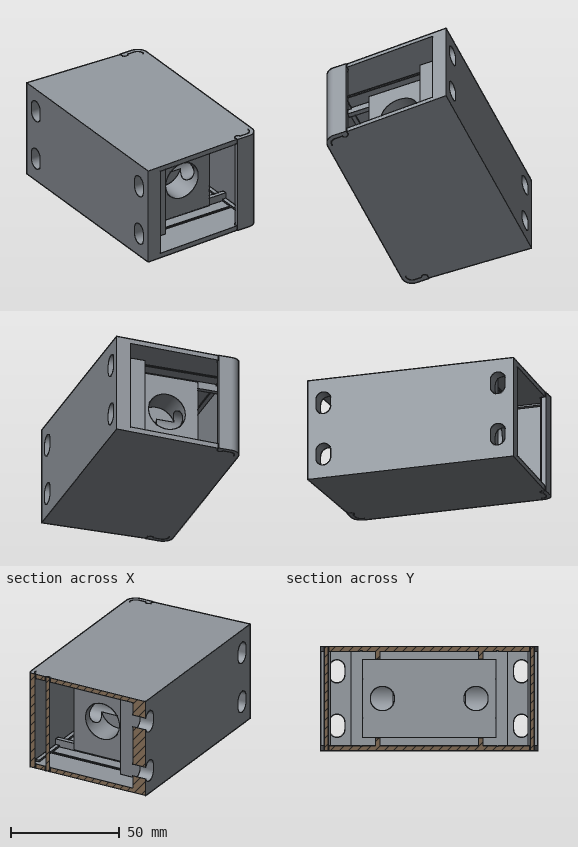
import cadquery as cq

WIDTH = 100.0
DEPTH = 62.0
HEIGHT = 48.0

PLATE_THICKNESS = 2.4
FRONT_WALL = 7.0
BACK_HALF_WIDTH = 48.0
CAVITY_HEIGHT = HEIGHT - 2 * PLATE_THICKNESS

COVER_HALF_WIDTH = 48.33
COVER_WALL = 2.0
COVER_RADIUS = 5.0
COVER_INNER_Y = DEPTH - COVER_WALL
LIP_END_Y = 50.6
BEAD_RADIUS = 1.4
BEAD_INSET = 1.65
COVER_GAP = 0.15
JOINT_HALF_WIDTH = 43.0

LEDGE_DEPTH = 2.0
LEDGE_HEIGHT = 0.8

SLOT_X = 42.4
SLOT_Z = 12.5
SLOT_WIDTH = 7.2
SLOT_LENGTH = 10.5

BASE_HALF_WIDTH = 36.0
BASE_END_Y = 19.1

BLOCK_HALF_WIDTH = 30.6
BLOCK_END_Y = 46.9
BLOCK_HEIGHT = 36.0
BORE_DIAMETER = 18.0
BORE_DEPTH = 13.9
BORE_Y = 31.75
SCREW_HOLE_DIAMETER = 11.2
SCREW_HOLE_X = 21.5

RIB_OUTER_X = 24.8
RIB_THICKNESS = 2.2

GROOVE_INNER_X = 30.8
GROOVE_WIDTH = 1.0
GROOVE_DEPTH = 0.3

SIDES = (-1, 1)


def box(x_min, x_max, y_min, y_max, z_min, z_max):
    """Axis-aligned box given by its limits."""
    size = (x_max - x_min, y_max - y_min, z_max - z_min)
    return cq.Workplane("XY").box(*size, centered=False).translate((x_min, y_min, z_min))


def centred_box(half_width, y_min, y_max, height):
    """Box symmetric about the YZ and XY planes."""
    return box(-half_width, half_width, y_min, y_max, -height / 2, height / 2)


def cover_envelope(start_y):
    """Solid outline of the back cover, rounded at its back corners."""
    return centred_box(COVER_HALF_WIDTH, start_y, DEPTH, HEIGHT).edges("|Z and >Y").fillet(COVER_RADIUS)


def make_cover(clearance=0.0):
    """Back cover; a clearance grows its inner faces to shape the matching relief."""
    start_y = LIP_END_Y - clearance
    inner_half_width = COVER_HALF_WIDTH - COVER_WALL - clearance
    inner_y = COVER_INNER_Y - clearance
    inner = centred_box(inner_half_width, 0, inner_y, HEIGHT)
    inner = inner.edges("|Z and >Y").fillet(COVER_RADIUS - COVER_WALL)
    cover = cover_envelope(start_y).cut(inner)
    bead_x = COVER_HALF_WIDTH - BEAD_INSET
    beads = (
        cq.Workplane("XY", origin=(0, LIP_END_Y + BEAD_RADIUS, -HEIGHT / 2))
        .pushPoints([(side * bead_x, 0) for side in SIDES])
        .circle(BEAD_RADIUS + clearance)
        .extrude(HEIGHT)
    )
    return cover.union(beads)


def make_housing():
    """Tapered housing, open at both sides, relieved for the cover lips."""
    half_width = WIDTH / 2
    housing = (
        cq.Workplane("XY", origin=(0, 0, -HEIGHT / 2))
        .moveTo(-half_width, 0)
        .lineTo(half_width, 0)
        .lineTo(BACK_HALF_WIDTH, LIP_END_Y)
        .lineTo(-BACK_HALF_WIDTH, LIP_END_Y)
        .close()
        .extrude(HEIGHT)
    )
    housing = housing.union(cover_envelope(LIP_END_Y))
    cavity = centred_box(half_width, FRONT_WALL, DEPTH, CAVITY_HEIGHT)
    joint = centred_box(JOINT_HALF_WIDTH, LIP_END_Y, DEPTH, HEIGHT)
    relief = make_cover(COVER_GAP).cut(joint)
    return housing.cut(cavity).cut(relief)


def make_slots():
    """Cutters for the four upright mounting slots."""
    centres = [(x * SLOT_X, z * SLOT_Z) for x in SIDES for z in SIDES]
    return (
        cq.Workplane("XZ")
        .pushPoints(centres)
        .slot2D(SLOT_LENGTH, SLOT_WIDTH, 90)
        .extrude(-FRONT_WALL)
    )


def make_ledges():
    """Low ledges along the cover's back wall on both plates."""
    half_width = COVER_HALF_WIDTH - COVER_RADIUS
    start_y = COVER_INNER_Y - LEDGE_DEPTH
    ledges = centred_box(half_width, start_y, COVER_INNER_Y, CAVITY_HEIGHT)
    return ledges.cut(centred_box(half_width, start_y, COVER_INNER_Y, CAVITY_HEIGHT - 2 * LEDGE_HEIGHT))


def make_ribs():
    """Cross ribs filling the space between block height and plates."""
    rib_inner_x = RIB_OUTER_X - RIB_THICKNESS
    ribs = centred_box(RIB_OUTER_X, BASE_END_Y, COVER_INNER_Y, CAVITY_HEIGHT)
    ribs = ribs.cut(centred_box(rib_inner_x, BASE_END_Y, COVER_INNER_Y, CAVITY_HEIGHT))
    return ribs.cut(centred_box(RIB_OUTER_X, BASE_END_Y, COVER_INNER_Y, BLOCK_HEIGHT))


def make_block():
    """Terminal block with end recesses and screw holes entering from the back."""
    block = centred_box(BLOCK_HALF_WIDTH, BASE_END_Y, BLOCK_END_Y, BLOCK_HEIGHT)
    floor_x = BLOCK_HALF_WIDTH - BORE_DEPTH
    for side in SIDES:
        bore = (
            cq.Workplane("YZ", origin=(side * floor_x, BORE_Y, 0))
            .circle(BORE_DIAMETER / 2)
            .extrude(side * BORE_DEPTH)
        )
        screw_hole = (
            cq.Workplane("XZ", origin=(side * SCREW_HOLE_X, BORE_Y, 0))
            .circle(SCREW_HOLE_DIAMETER / 2)
            .extrude(BORE_Y - BLOCK_END_Y)
        )
        block = block.cut(bore).cut(screw_hole)
    return block


def make_grooves():
    """Cutters for the shallow plate grooves beside the block ends."""
    outer_x = GROOVE_INNER_X + GROOVE_WIDTH
    end_y = COVER_INNER_Y - LEDGE_DEPTH
    height = CAVITY_HEIGHT + 2 * GROOVE_DEPTH
    grooves = centred_box(outer_x, BASE_END_Y, end_y, height)
    return grooves.cut(centred_box(GROOVE_INNER_X, BASE_END_Y, end_y, height))


base = centred_box(BASE_HALF_WIDTH, FRONT_WALL, BASE_END_Y, CAVITY_HEIGHT)

result = (
    make_housing()
    .cut(make_slots())
    .cut(make_grooves())
    .union(make_cover())
    .union(base)
    .union(make_ledges())
    .union(make_ribs())
    .union(make_block())
)